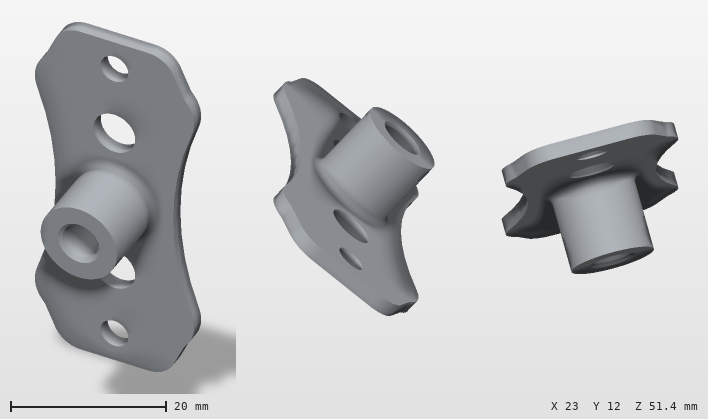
import cadquery as cq
import math

PLATE_THICKNESS = 2.0
PLATE_HEIGHT = 51.4
LOBE_WIDTH = 22.99
WAIST_WIDTH = 17.0
TOP_FLAT_WIDTH = 9.8
CORNER_RADIUS = 4.0
LOBE_RADIUS = 5.0
LOBE_LOWER_RADIUS = 5.5
LOBE_Z = 16.47
SHOULDER_ANGLE = math.radians(24.5)
SHOULDER_BLEND_RADIUS = 3.0

OUTER_HOLE_DIAMETER = 4.0
OUTER_HOLE_Z = 21.4
INNER_HOLE_DIAMETER = 6.0
INNER_HOLE_Z = 11.0

BOSS_DIAMETER = 11.0
BOSS_LENGTH = 10.0
BOSS_FILLET = 1.0
BORE_DIAMETER = 5.1
BORE_MOUTH_DIAMETER = 6.0
BORE_DEPTH = BOSS_LENGTH
BORE_CHAMFER = (BORE_MOUTH_DIAMETER - BORE_DIAMETER) / 2

BOSS_END_Y = -BOSS_LENGTH


def on_circle(center, radius, angle):
    return (center[0] + radius * math.cos(angle), center[1] + radius * math.sin(angle))


def arc_on(center, radius, start_angle, end_angle):
    """Start, middle and end points of an arc."""
    middle_angle = (start_angle + end_angle) / 2
    return [on_circle(center, radius, a) for a in (start_angle, middle_angle, end_angle)]


def mirrored(arc, x_sign, z_sign):
    return [(x_sign * x, z_sign * z) for x, z in arc]


def quarter_arcs():
    """Arcs of the +X +Z quarter, from the top flat down to the waist."""
    corner_center = (TOP_FLAT_WIDTH / 2, PLATE_HEIGHT / 2 - CORNER_RADIUS)
    lobe_center = (LOBE_WIDTH / 2 - LOBE_RADIUS, LOBE_Z)

    shoulder_distance = (
        CORNER_RADIUS
        + (corner_center[0] - lobe_center[0]) * math.cos(SHOULDER_ANGLE)
        + (corner_center[1] - lobe_center[1]) * math.sin(SHOULDER_ANGLE)
    )
    blend_reach = LOBE_RADIUS + SHOULDER_BLEND_RADIUS
    blend_turn = math.acos((shoulder_distance + SHOULDER_BLEND_RADIUS) / blend_reach)
    lobe_start = SHOULDER_ANGLE + blend_turn
    blend_center = on_circle(lobe_center, blend_reach, lobe_start)

    lower_lobe_center = (LOBE_WIDTH / 2 - LOBE_LOWER_RADIUS, LOBE_Z)
    waist_offset = WAIST_WIDTH / 2 - lower_lobe_center[0]
    waist_radius = (LOBE_Z**2 + waist_offset**2 - LOBE_LOWER_RADIUS**2) / (
        2 * (LOBE_LOWER_RADIUS - waist_offset)
    )
    lobe_end = -math.asin(LOBE_Z / (waist_radius + LOBE_LOWER_RADIUS))

    corner = arc_on(corner_center, CORNER_RADIUS, math.pi / 2, SHOULDER_ANGLE)
    blend = arc_on(
        blend_center, SHOULDER_BLEND_RADIUS, math.pi + SHOULDER_ANGLE, math.pi + lobe_start
    )
    lobe = arc_on(lobe_center, LOBE_RADIUS, lobe_start, 0)
    lower_lobe = arc_on(lower_lobe_center, LOBE_LOWER_RADIUS, 0, lobe_end)
    return corner, blend, lobe, lower_lobe


def draw_side(outline, x_sign, z_sign):
    """Draw one long side, starting at the end of the flat on the z_sign side."""
    arcs = quarter_arcs()
    corner, blend, lobe, lower_lobe = [mirrored(arc, x_sign, z_sign) for arc in arcs]
    far_corner, far_blend, far_lobe, far_lower_lobe = [
        mirrored(arc, x_sign, -z_sign)[::-1] for arc in arcs
    ]
    waist_point = (x_sign * WAIST_WIDTH / 2, 0)
    return (
        outline.lineTo(*corner[0])
        .threePointArc(*corner[1:])
        .lineTo(*blend[0])
        .threePointArc(*blend[1:])
        .threePointArc(*lobe[1:])
        .threePointArc(*lower_lobe[1:])
        .threePointArc(waist_point, far_lower_lobe[0])
        .threePointArc(*far_lower_lobe[1:])
        .threePointArc(*far_lobe[1:])
        .threePointArc(*far_blend[1:])
        .lineTo(*far_corner[0])
        .threePointArc(*far_corner[1:])
    )


def make_plate():
    outline = cq.Workplane("XZ").moveTo(0, PLATE_HEIGHT / 2)
    outline = draw_side(outline, x_sign=1, z_sign=1)
    outline = draw_side(outline, x_sign=-1, z_sign=-1)
    return outline.close().extrude(-PLATE_THICKNESS)


def cut_plate_holes(body):
    for diameter, height in (
        (OUTER_HOLE_DIAMETER, OUTER_HOLE_Z),
        (INNER_HOLE_DIAMETER, INNER_HOLE_Z),
    ):
        holes = (
            cq.Workplane("XZ")
            .pushPoints([(0, height), (0, -height)])
            .circle(diameter / 2)
            .extrude(-PLATE_THICKNESS)
        )
        body = body.cut(holes)
    return body


def make_boss():
    """Boss with a concave fillet at its root, revolved about the Y axis."""
    radius = BOSS_DIAMETER / 2
    fillet_middle = BOSS_FILLET * (1 - math.sqrt(0.5))
    return (
        cq.Workplane("XY")
        .moveTo(0, BOSS_END_Y)
        .lineTo(radius, BOSS_END_Y)
        .lineTo(radius, -BOSS_FILLET)
        .threePointArc((radius + fillet_middle, -fillet_middle), (radius + BOSS_FILLET, 0))
        .lineTo(0, 0)
        .close()
        .revolve(360, (0, 0), (0, 1))
    )


def make_bore():
    """Blind bore with a chamfered mouth, opening at the free end of the boss."""
    profile = [
        (0, BOSS_END_Y),
        (BORE_MOUTH_DIAMETER / 2, BOSS_END_Y),
        (BORE_DIAMETER / 2, BOSS_END_Y + BORE_CHAMFER),
        (BORE_DIAMETER / 2, BOSS_END_Y + BORE_DEPTH),
        (0, BOSS_END_Y + BORE_DEPTH),
    ]
    return cq.Workplane("XY").polyline(profile).close().revolve(360, (0, 0), (0, 1))


plate = cut_plate_holes(make_plate())
result = plate.union(make_boss()).cut(make_bore())